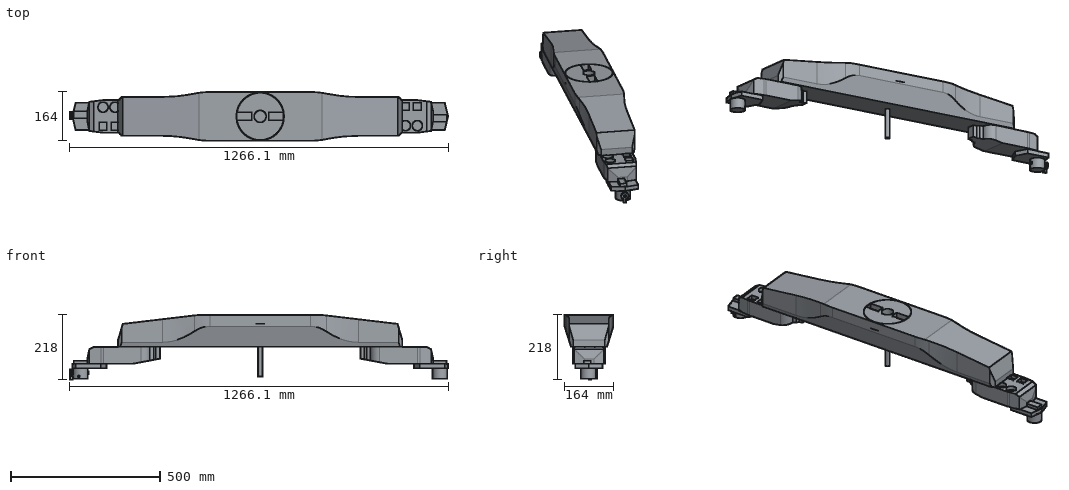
import cadquery as cq


COVER_HEIGHT = 107.0
COVER_HALF_LENGTH = 476.0
COVER_TOP_HALF_LENGTH = 460.0
COVER_END_HEIGHT = 77.0
COVER_SKIRT_HEIGHT = 23.0
COVER_CREST_HALF_LENGTH = 206.0
COVER_HALF_WIDTH = 82.0
COVER_NARROW_HALF_WIDTH = 65.5
COVER_BASE_HALF_WIDTH = 60.5
COVER_FLARE_TOP = 69.0
WAIST_START = 328.0
WAIST_INFLECTION = 221.0
WAIST_END = 168.0
CORNER_LENGTH = 13.0
CORNER_WIDTH = 12.5

DIAL_DIAMETER = 158.0
DIAL_THICKNESS = 30.0
DIAL_GAP = 1.0
DIAL_HOLE_DIAMETER = 40.0
DIAL_SLOT_INNER = 28.0
DIAL_SLOT_OUTER = 78.0
DIAL_SLOT_WIDTH = 27.0
DIAL_SLOT_DEPTH = 22.0
SPINDLE_DIAMETER = 16.0
SPINDLE_LENGTH = 100.0

ARM_HEIGHT = 57.0
ARM_HALF_WIDTH = 55.0
ARM_NOSE_X = -579.0
ARM_NOSE_HALF_WIDTH = 16.0
ARM_SHOULDER_X = -572.0
ARM_SHOULDER_HALF_WIDTH = 49.0
ARM_FLARE_START_X = -534.0
ARM_FLARE_START_HALF_WIDTH = 54.0
ARM_FLARE_END_X = -526.0
ARM_BEVEL_TOP_X = -557.0
ARM_BEVEL_DEPTH = 8.0
ARM_SLOPE_BOTTOM = -40.0
ARM_ROUND_X = -399.0
ARM_ROUND_RADIUS = 30.0
TONGUE_ROOT_X = -357.0
TONGUE_NECK_X = -349.0
TONGUE_TIP_X = -335.0
TONGUE_ROOT_HALF_WIDTH = 22.0
TONGUE_HALF_WIDTH = 16.0
ARM_RISE_X = -425.0
TONGUE_DEPTH = 40.0
POCKET_X = -526.0
POCKET_PITCH = 40.0
POCKET_COUNT = 2
POCKET_DEPTH = 14.0
ROUND_POCKET_DIAMETER = 34.0
ROUND_POCKET_Y = 31.0
SQUARE_POCKET_SIDE = 26.0
SQUARE_POCKET_Y = -33.0

PLATE_THICKNESS = 15.0
PLATE_HALF_WIDTH = 46.0
PLATE_TIP_X = -629.0
PLATE_OUTER_CORNER_X = -618.0
PLATE_INNER_CORNER_X = -534.0
PLATE_INNER_TIP_X = -514.0
RIB_END_X = -624.0
RIB_HEIGHT = 11.0
RIB_WIDTH = 23.0
RIB_Y = 5.6
BOSS_DIAMETER = 50.0
BOSS_BOTTOM = -107.0
BOSS_X = -601.5
BOSS_Y = 3.0

NOZZLE_END_X = -637.08
NOZZLE_Z = -87.0
NOZZLE_HEAD_DIAMETER = 25.0
NOZZLE_HEAD_THICKNESS = 6.0
NOZZLE_NECK_DIAMETER = 13.9
NOZZLE_BORE_DIAMETER = 8.0
NOZZLE_BORE_DEPTH = 8.0
NOZZLE_SHANK_DIAMETER = 9.5
NOZZLE_SHANK_END_X = -574.0
NOZZLE_STEM_WIDTH = 8.0
NOZZLE_BOTTOM = -111.0
SIDE_HOLE_DIAMETER = 6.0
SIDE_HOLE_X = -607.0
SIDE_HOLE_Z = -99.0
SIDE_HOLE_DEPTH = 12.0

PLATE_TOP = -ARM_HEIGHT
PLATE_BOTTOM = PLATE_TOP - PLATE_THICKNESS
BOSS_FACE_X = BOSS_X - BOSS_DIAMETER / 2


def mirrored_outline(upper_points):
    """Closed outline from the points of its +Y half and their mirror images."""
    lower_points = [(x, -y) for x, y in reversed(upper_points) if y > 0]
    return upper_points + lower_points


def make_cover():
    side_profile = [
        (-COVER_HALF_LENGTH, 0),
        (-COVER_HALF_LENGTH, COVER_SKIRT_HEIGHT),
        (-COVER_TOP_HALF_LENGTH, COVER_END_HEIGHT),
        (-COVER_CREST_HALF_LENGTH, COVER_HEIGHT),
        (COVER_CREST_HALF_LENGTH, COVER_HEIGHT),
        (COVER_TOP_HALF_LENGTH, COVER_END_HEIGHT),
        (COVER_HALF_LENGTH, COVER_SKIRT_HEIGHT),
        (COVER_HALF_LENGTH, 0),
    ]
    side = cq.Workplane("XZ").polyline(side_profile).close().extrude(COVER_HALF_WIDTH, both=True)

    cross_section = [
        (-COVER_BASE_HALF_WIDTH, 0),
        (-COVER_HALF_WIDTH, COVER_FLARE_TOP),
        (-COVER_HALF_WIDTH, COVER_HEIGHT),
        (COVER_HALF_WIDTH, COVER_HEIGHT),
        (COVER_HALF_WIDTH, COVER_FLARE_TOP),
        (COVER_BASE_HALF_WIDTH, 0),
    ]
    section = cq.Workplane("YZ").polyline(cross_section).close().extrude(COVER_HALF_LENGTH, both=True)

    body = cover_plan().intersect(side).intersect(section)
    recess = (
        cq.Workplane("XY")
        .workplane(offset=COVER_HEIGHT - DIAL_THICKNESS)
        .circle(DIAL_DIAMETER / 2 + DIAL_GAP)
        .extrude(DIAL_THICKNESS)
    )
    return body.cut(recess)


def cover_plan():
    """Plan of the cover: narrow ends that widen to the middle through tangent arcs."""
    step = COVER_HALF_WIDTH - COVER_NARROW_HALF_WIDTH
    inflection_share = (WAIST_START - WAIST_INFLECTION) / (WAIST_START - WAIST_END)
    inflection_y = COVER_NARROW_HALF_WIDTH + step * inflection_share
    end_y = COVER_NARROW_HALF_WIDTH - CORNER_WIDTH
    corner_x = COVER_HALF_LENGTH - CORNER_LENGTH
    quarter = (
        cq.Workplane("XY")
        .moveTo(-COVER_HALF_LENGTH, end_y)
        .lineTo(-corner_x, COVER_NARROW_HALF_WIDTH)
        .lineTo(-WAIST_START, COVER_NARROW_HALF_WIDTH)
        .tangentArcPoint((-WAIST_INFLECTION, inflection_y), relative=False)
        .tangentArcPoint((-WAIST_END, COVER_HALF_WIDTH), relative=False)
        .lineTo(0, COVER_HALF_WIDTH)
        .lineTo(0, 0)
        .lineTo(-COVER_HALF_LENGTH, 0)
        .close()
        .extrude(COVER_HEIGHT)
    )
    half = quarter.union(quarter.mirror("XZ"))
    return half.union(half.mirror("YZ"))


def make_dial():
    dial = (
        cq.Workplane("XY")
        .workplane(offset=COVER_HEIGHT - DIAL_THICKNESS)
        .circle(DIAL_DIAMETER / 2)
        .circle(DIAL_HOLE_DIAMETER / 2)
        .extrude(DIAL_THICKNESS)
    )
    slot_middle = (DIAL_SLOT_INNER + DIAL_SLOT_OUTER) / 2
    slots = (
        cq.Workplane("XY")
        .workplane(offset=COVER_HEIGHT)
        .pushPoints([(-slot_middle, 0), (slot_middle, 0)])
        .rect(DIAL_SLOT_OUTER - DIAL_SLOT_INNER, DIAL_SLOT_WIDTH)
        .extrude(-DIAL_SLOT_DEPTH)
    )
    return dial.cut(slots)


def make_spindle():
    return cq.Workplane("XY").circle(SPINDLE_DIAMETER / 2).extrude(-SPINDLE_LENGTH)


def make_arm():
    arm = arm_plan().intersect(arm_side())
    pocket_places = [POCKET_X + i * POCKET_PITCH for i in range(POCKET_COUNT)]
    round_pockets = (
        cq.Workplane("XY")
        .pushPoints([(x, ROUND_POCKET_Y) for x in pocket_places])
        .circle(ROUND_POCKET_DIAMETER / 2)
        .extrude(-POCKET_DEPTH)
    )
    square_pockets = (
        cq.Workplane("XY")
        .pushPoints([(x, SQUARE_POCKET_Y) for x in pocket_places])
        .rect(SQUARE_POCKET_SIDE, SQUARE_POCKET_SIDE)
        .extrude(-POCKET_DEPTH)
    )
    return arm.cut(round_pockets).cut(square_pockets)


def arm_plan():
    """Plan of the arm: swept nose, flared sides, rounded inner corners and a tongue."""
    round_end_x = ARM_ROUND_X + ARM_ROUND_RADIUS
    half = (
        cq.Workplane("XY")
        .moveTo(ARM_NOSE_X, 0)
        .lineTo(ARM_NOSE_X, ARM_NOSE_HALF_WIDTH)
        .lineTo(ARM_SHOULDER_X, ARM_SHOULDER_HALF_WIDTH)
        .lineTo(ARM_FLARE_START_X, ARM_FLARE_START_HALF_WIDTH)
        .lineTo(ARM_FLARE_END_X, ARM_HALF_WIDTH)
        .lineTo(ARM_ROUND_X, ARM_HALF_WIDTH)
        .tangentArcPoint((round_end_x, ARM_HALF_WIDTH - ARM_ROUND_RADIUS), relative=False)
        .lineTo(TONGUE_ROOT_X, TONGUE_ROOT_HALF_WIDTH)
        .lineTo(TONGUE_NECK_X, TONGUE_HALF_WIDTH)
        .lineTo(TONGUE_TIP_X, TONGUE_HALF_WIDTH)
        .lineTo(TONGUE_TIP_X, 0)
        .close()
        .extrude(-ARM_HEIGHT)
    )
    return half.union(half.mirror("XZ"))


def arm_side():
    """Side profile of the arm: bevelled nose on top, underside rising to the tongue."""
    profile = [
        (ARM_BEVEL_TOP_X, 0),
        (ARM_SHOULDER_X, -ARM_BEVEL_DEPTH),
        (ARM_NOSE_X, ARM_SLOPE_BOTTOM),
        (ARM_NOSE_X, -ARM_HEIGHT),
        (ARM_RISE_X, -ARM_HEIGHT),
        (TONGUE_TIP_X, -TONGUE_DEPTH),
        (TONGUE_TIP_X, 0),
    ]
    return cq.Workplane("XZ").polyline(profile).close().extrude(ARM_HALF_WIDTH, both=True)


def make_foot():
    plate_outline = mirrored_outline([
        (PLATE_TIP_X, 0),
        (PLATE_OUTER_CORNER_X, PLATE_HALF_WIDTH),
        (PLATE_INNER_CORNER_X, PLATE_HALF_WIDTH),
        (PLATE_INNER_TIP_X, 0),
    ])
    plate = (
        cq.Workplane("XY")
        .workplane(offset=PLATE_BOTTOM)
        .polyline(plate_outline)
        .close()
        .extrude(PLATE_THICKNESS)
    )
    rib = (
        cq.Workplane("XY")
        .workplane(offset=PLATE_TOP)
        .center((RIB_END_X + ARM_NOSE_X) / 2, RIB_Y)
        .rect(ARM_NOSE_X - RIB_END_X, RIB_WIDTH)
        .extrude(RIB_HEIGHT)
    )
    boss = (
        cq.Workplane("XY")
        .workplane(offset=PLATE_BOTTOM)
        .center(BOSS_X, BOSS_Y)
        .circle(BOSS_DIAMETER / 2)
        .extrude(BOSS_BOTTOM - PLATE_BOTTOM)
    )
    return plate.union(rib).union(boss)


def x_cylinder(diameter, start_x, end_x):
    """Cylinder along X on the nozzle axis."""
    return (
        cq.Workplane("YZ", origin=(start_x, BOSS_Y, NOZZLE_Z))
        .circle(diameter / 2)
        .extrude(end_x - start_x)
    )


def make_nozzle():
    """Bored round head, neck, shank through the boss, and a stem pointing down."""
    head_back_x = NOZZLE_END_X + NOZZLE_HEAD_THICKNESS
    head = x_cylinder(NOZZLE_HEAD_DIAMETER, NOZZLE_END_X, head_back_x)
    neck = x_cylinder(NOZZLE_NECK_DIAMETER, head_back_x, BOSS_FACE_X)
    shank = x_cylinder(NOZZLE_SHANK_DIAMETER, BOSS_FACE_X, NOZZLE_SHANK_END_X)
    stem_height = NOZZLE_Z - NOZZLE_BOTTOM
    stem = (
        cq.Workplane("XY", origin=((NOZZLE_END_X + BOSS_FACE_X) / 2, BOSS_Y, NOZZLE_BOTTOM))
        .rect(BOSS_FACE_X - NOZZLE_END_X, NOZZLE_STEM_WIDTH)
        .extrude(stem_height)
    )
    bore = x_cylinder(NOZZLE_BORE_DIAMETER, NOZZLE_END_X, NOZZLE_END_X + NOZZLE_BORE_DEPTH)
    return head.union(neck).union(shank).union(stem).cut(bore)


def drill_for_nozzle(foot):
    """Through hole for the nozzle shank and a small hole in the -Y side of the boss."""
    shank_hole = x_cylinder(NOZZLE_SHANK_DIAMETER, BOSS_FACE_X, NOZZLE_SHANK_END_X)
    boss_side_y = BOSS_Y - BOSS_DIAMETER / 2
    side_hole = (
        cq.Workplane("XZ", origin=(SIDE_HOLE_X, boss_side_y, SIDE_HOLE_Z))
        .circle(SIDE_HOLE_DIAMETER / 2)
        .extrude(-SIDE_HOLE_DEPTH)
    )
    return foot.cut(shank_hole).cut(side_hole)


def turned_to_other_end(body):
    return body.rotate((0, 0, 0), (0, 0, 1), 180)


cover = make_cover()
dial = make_dial()
spindle = make_spindle()
nozzle = make_nozzle()
arms = [make_arm(), turned_to_other_end(make_arm())]
feet = [drill_for_nozzle(make_foot()), turned_to_other_end(make_foot())]

bodies = [cover, dial, spindle, *arms, *feet, nozzle]
result = cq.Compound.makeCompound([body.val() for body in bodies])